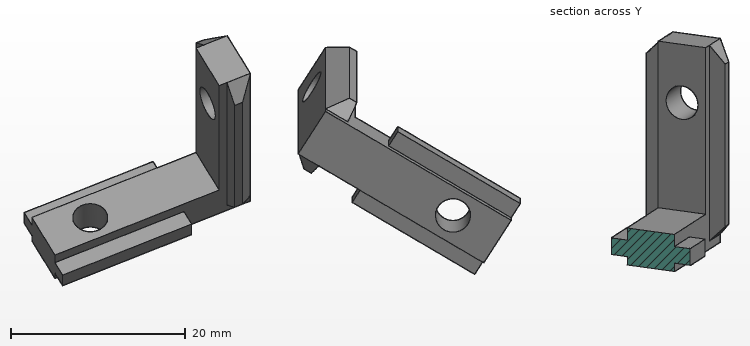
import cadquery as cq

WIDTH = 9.99
LENGTH = 25.0
HEIGHT = 24.5

STRIP_WIDTH = 6.0
FOOT_THICKNESS = 4.5
POST_THICKNESS = 4.0

FOOT_WING_LENGTH = 16.5
FOOT_WING_BOTTOM = 1.0
FOOT_WING_THICKNESS = 2.05

POST_WING_THICKNESS = 3.0
POST_WING_BOTTOM = 1.0

HOLE_DIAMETER = 4.0
FOOT_HOLE_FROM_END = 6.0
POST_HOLE_FROM_TOP = 7.0

BEVEL = (WIDTH - STRIP_WIDTH) / 2


def box(width, y_min, y_max, z_min, z_max):
    """Block centred on X and spanning the given Y and Z ranges."""
    return (
        cq.Workplane("XY")
        .box(width, y_max - y_min, z_max - z_min, centered=(True, False, False))
        .translate((0, y_min, z_min))
    )


def make_strip():
    foot = box(STRIP_WIDTH, 0, LENGTH, 0, FOOT_THICKNESS)
    post = box(STRIP_WIDTH, LENGTH - POST_THICKNESS, LENGTH, 0, HEIGHT)
    return foot.union(post)


def make_foot_wings():
    wing_top = FOOT_WING_BOTTOM + FOOT_WING_THICKNESS
    return box(WIDTH, 0, FOOT_WING_LENGTH, FOOT_WING_BOTTOM, wing_top)


def make_post_wings():
    """Plate through the back of the post, bevelled along its back and at both ends."""
    wing_front = LENGTH - POST_WING_THICKNESS
    plate = box(WIDTH, wing_front, LENGTH, POST_WING_BOTTOM, HEIGHT)
    end_bevelled = plate.edges("|Y").chamfer(BEVEL)
    back_bevelled = plate.edges("|Z and >Y").chamfer(BEVEL)
    return end_bevelled.intersect(back_bevelled)


def make_holes():
    radius = HOLE_DIAMETER / 2
    foot_hole = (
        cq.Workplane("XY")
        .center(0, FOOT_HOLE_FROM_END)
        .circle(radius)
        .extrude(FOOT_THICKNESS)
    )
    post_hole = (
        cq.Workplane("XZ", origin=(0, LENGTH, 0))
        .center(0, HEIGHT - POST_HOLE_FROM_TOP)
        .circle(radius)
        .extrude(POST_THICKNESS)
    )
    return foot_hole.union(post_hole)


bracket = make_strip().union(make_foot_wings()).union(make_post_wings())
result = bracket.cut(make_holes())